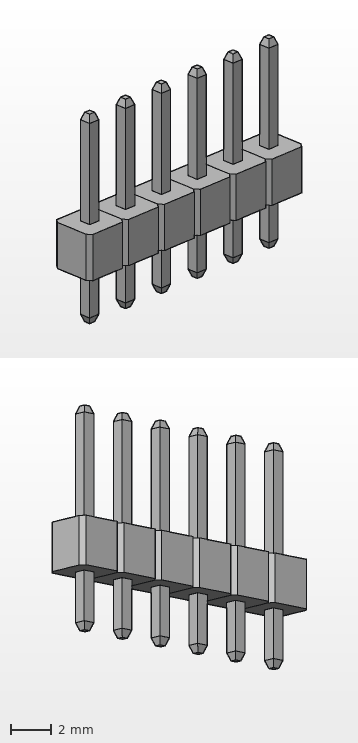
import cadquery as cq

unit_count = 6
row_length = 15.24
pitch = row_length / unit_count

block_size = pitch
bevel_along_x = 0.27
bevel_along_y = 0.21

pin_length = 11.5
pin_width = 0.65
pin_below_block = 3.0
tip_width = 0.35
tip_length = 0.41


def make_block():
    """Block standing on Z = 0, with its four vertical edges bevelled."""
    half = block_size / 2
    flat_x = half - bevel_along_x
    flat_y = half - bevel_along_y
    outline = [
        (half, -flat_y),
        (half, flat_y),
        (flat_x, half),
        (-flat_x, half),
        (-half, flat_y),
        (-half, -flat_y),
        (-flat_x, -half),
        (flat_x, -half),
    ]
    return cq.Workplane("XY").polyline(outline).close().extrude(block_size)


def make_tip(base_z, direction):
    """Pyramidal pin end that narrows from base_z upward (+1) or downward (-1)."""
    return (
        cq.Workplane("XY", origin=(0, 0, base_z))
        .rect(pin_width, pin_width)
        .workplane(offset=direction * tip_length)
        .rect(tip_width, tip_width)
        .loft()
    )


def make_pin():
    """Straight square shank between two tapered tips."""
    shank_bottom = -pin_below_block + tip_length
    shank_length = pin_length - 2 * tip_length
    shank = (
        cq.Workplane("XY", origin=(0, 0, shank_bottom))
        .rect(pin_width, pin_width)
        .extrude(shank_length)
    )
    upper_tip = make_tip(shank_bottom + shank_length, 1)
    lower_tip = make_tip(shank_bottom, -1)
    return shank.union(upper_tip).union(lower_tip)


def make_contact_unit(center_y):
    """One block and its pin as a single solid, centred at center_y."""
    return make_block().union(make_pin()).translate((0, center_y, 0))


first_center_y = -(row_length - pitch) / 2
contact_units = [
    make_contact_unit(first_center_y + index * pitch)
    for index in range(unit_count)
]

result = cq.Compound.makeCompound([unit.val() for unit in contact_units])